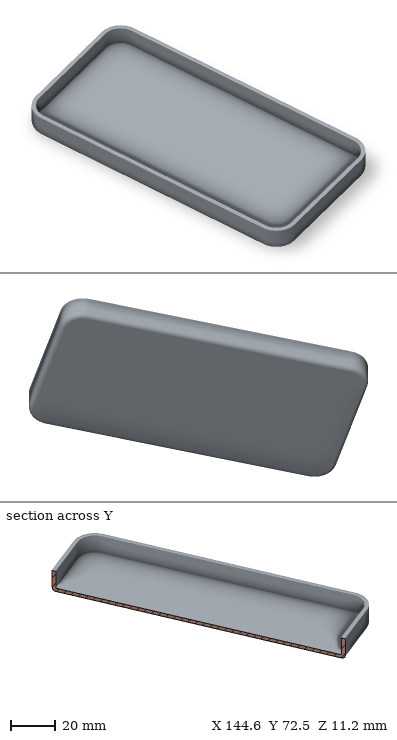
import cadquery as cq

length = 144.6
width = 72.5
height = 11.2

wall = 2.0
floor = 2.0
corner_radius = 10.4
bottom_edge_radius = 2.0


def rounded_block(size_x, size_y, size_z, radius):
    """Block standing on Z = 0, centred in X and Y, with rounded upright edges."""
    block = cq.Workplane("XY").box(size_x, size_y, size_z, centered=(True, True, False))
    return block.edges("|Z").fillet(radius)


def tray_body():
    """Outer shape, with the edge around the underside rounded over."""
    body = rounded_block(length, width, height, corner_radius)
    return body.faces("<Z").edges().fillet(bottom_edge_radius)


def tray_cavity():
    """Open-topped recess that leaves an even wall and a flat floor."""
    cavity = rounded_block(
        length - 2 * wall,
        width - 2 * wall,
        height - floor,
        corner_radius - wall,
    )
    return cavity.translate((0, 0, floor))


result = tray_body().cut(tray_cavity())